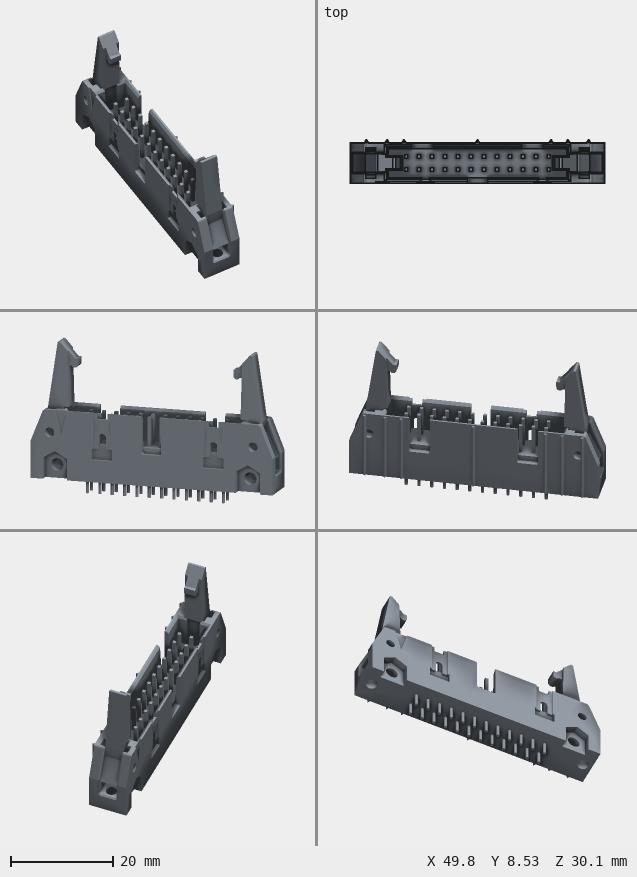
import cadquery as cq
import math


LENGTH = 49.78
HEIGHT = 13.93
OVERALL_DEPTH = 8.53
RIB_HEIGHT = 0.6
DEPTH = OVERALL_DEPTH - RIB_HEIGHT
FRONT = -DEPTH / 2
BACK = DEPTH / 2
END_SLOPE_START = 7.35
END_SLOPE_RUN = 2.65
END_ROUND = 0.6
CLEARANCE = 1.0

PITCH = 2.54
COLUMNS = 12
ROWS = 2
PIN_SIZE = 0.64
PIN_TOP = 13.35
OVERALL_HEIGHT = 30.12
LATCH_TOP = 27.25
PIN_BOTTOM = LATCH_TOP - OVERALL_HEIGHT
PIN_ROOT = 1.0

FLOOR = 7.43
CAVITY_LENGTH = 34.94
CAVITY_WIDTH = 5.68
CAVITY_FLARE = 0.32
RIM_CHAMFER = 0.43

SLOT_BOTTOM = 6.31
SLOT_CORNER = 0.4
KEY_SLOT_WIDTH = 4.0
BACK_SLOT_WIDTH = 4.2
BACK_SLOT_X = 10.8

STATION_XS = (-4 * PITCH, 5 * PITCH)
GROOVE_WIDTH = 3.45
GROOVE_DEPTH = 0.3
NOTCH_WIDTH = 2.06
NOTCH_DEPTH = 1.23
PAD_WIDTH = 4.23
PAD_DEPTH = 0.77
PAD_BOTTOM = 4.48
PAD_TOP = 6.74
WINDOW_WIDTH = 1.46
WINDOW_TOP = 9.77

MARK_X = -18.6
MARK_WIDTH = 2.58
MARK_TIP = 8.8
MARK_DEPTH = 0.3

MOUNT_X = -19.83
MOUNT_HOLE_Z = 2.68
MOUNT_HOLE_DIAMETER = 2.5
NUT_WIDTH = 4.97
NUT_SHOULDER = 4.25
NUT_APEX = NUT_SHOULDER + NUT_WIDTH / 2 * math.tan(math.radians(30))
NUT_DEPTH = 1.6

LATCH_SLOT_WIDTH = 3.66
LATCH_SLOT_FLOOR = 3.6
LATCH_SLOT_INNER_X = -18.45
LATCH_SLOT_CHAMFER = 0.3
TOP_EDGE_MARGIN = 0.01
TOE_SLOT_WIDTH = 2.84
TOE_SLOT_END_LOW = -15.07
TOE_SLOT_END_HIGH = -14.6

DRAIN_X = -23.05
DRAIN_DIAMETER = 2.2

PIVOT_X = -20.9
PIVOT_Z = 9.44
PIVOT_DIAMETER = 1.88
PIVOT_REACH = 2.2
RAMP_TOP_REACH = 2.95
RAMP_BOTTOM_REACH = 2.25

LATCH_WIDTH = 3.58
HOOK_WIDTH = 2.3
TIP_OUTER_X = -19.95
TIP_INNER_X = -19.5
TIP_ROUND = 0.2
LEVER_INNER_TOP_X = -17.95
LIP_X = -17.63
LIP_Z = 14.27
NECK_X = -18.7
SHANK_OUTER_X = -21.95
SHANK_TOP = 14.0
SHANK_BOTTOM = 11.4
HEEL_X = -24.4
HEEL_Z = 6.64
SOLE_START_X = -21.75
SOLE_Z = 4.7
SOLE_MID_X = -22.04
SOLE_MID_Z = 5.07
SOLE_END_X = -22.4
SOLE_END_Z = 5.35
TOE_X = -15.15
TOE_TOP = 6.4
HOOK_TOP_X = -16.61
HOOK_TOP_Z = 24.0
BROW_SLOPE = (HOOK_TOP_Z - LATCH_TOP) / (HOOK_TOP_X - TIP_INNER_X)
LEVER_INNER_TOP_Z = LATCH_TOP + BROW_SLOPE * (LEVER_INNER_TOP_X - TIP_INNER_X)
HOOK_END_X = -15.96
HOOK_UNDER_Z = 22.5
HOOK_RADIUS = 0.69
HOOK_CENTER_Z = 22.82

RIB_XS = (-21.75, -17.7, -14.4, 0, 14.4, 17.7, 21.75)
RIB_WIDTH = 0.75
RIB_BOTTOM = 0.13
RIB_TOP = 13.65


def block(x_range, y_range, z_range):
    """Box between the given limits on each axis."""
    (x0, x1), (y0, y1), (z0, z1) = x_range, y_range, z_range
    box = cq.Workplane("XY").box(x1 - x0, y1 - y0, z1 - z0, centered=False)
    return box.translate((x0, y0, z0))


def span(center, width):
    """Limits of a width centred on a place."""
    return center - width / 2, center + width / 2


def prism(points, y_range):
    """Closed XZ polygon extruded between two Y limits."""
    y0, y1 = y_range
    return cq.Workplane("XZ", origin=(0, y1, 0)).polyline(points).close().extrude(y1 - y0)


def y_cylinder(x, z, diameter, y_range):
    """Cylinder along Y between two Y limits."""
    y0, y1 = y_range
    return cq.Workplane("XZ", origin=(x, y1, z)).circle(diameter / 2).extrude(y1 - y0)


def mirrored(shape):
    """Same shape at the right end."""
    return shape.mirror("YZ")


def make_shell():
    """Outer block with leaning, rounded ends."""
    half = LENGTH / 2
    shoulder = half - END_SLOPE_RUN
    outline = [
        (-half, 0),
        (half, 0),
        (half, END_SLOPE_START),
        (shoulder, HEIGHT),
        (-shoulder, HEIGHT),
        (-half, END_SLOPE_START),
    ]
    shell = prism(outline, (FRONT, BACK))
    return shell.edges("|Y").edges(">Z").fillet(END_ROUND)


def make_flared_block(bottom_z, height, length, width, flare):
    """Block with a rectangular base whose four sides lean outward by the flare."""
    base = cq.Workplane("XY", origin=(0, 0, bottom_z)).rect(length, width)
    top = base.workplane(offset=height).rect(length + 2 * flare, width + 2 * flare)
    return top.loft(ruled=True)


def make_cavity():
    """Drafted cavity with a chamfered rim."""
    rim_z = HEIGHT - RIM_CHAMFER
    rim_length = CAVITY_LENGTH + 2 * CAVITY_FLARE
    rim_width = CAVITY_WIDTH + 2 * CAVITY_FLARE
    pocket = make_flared_block(FLOOR, rim_z - FLOOR, CAVITY_LENGTH, CAVITY_WIDTH, CAVITY_FLARE)
    rim = make_flared_block(rim_z, RIM_CHAMFER, rim_length, rim_width, RIM_CHAMFER)
    return pocket.union(rim)


def make_wall_slot(x, width, y_range):
    """Slot open at the top of a long wall, with rounded bottom corners."""
    slot = block(span(x, width), y_range, (SLOT_BOTTOM, HEIGHT + CLEARANCE))
    return slot.edges("|Y").edges("<Z").fillet(SLOT_CORNER)


def make_station(x):
    """Groove, notch, pad recess, round-topped window and inner relief in the front wall."""
    inside = -CAVITY_WIDTH / 2
    pad_back = FRONT + PAD_DEPTH
    top = HEIGHT + CLEARANCE
    arch_z = WINDOW_TOP - WINDOW_WIDTH / 2
    groove = block(span(x, GROOVE_WIDTH), (FRONT, FRONT + GROOVE_DEPTH), (PAD_TOP, top))
    notch = block(span(x, NOTCH_WIDTH), (FRONT, inside), (HEIGHT - NOTCH_DEPTH, top))
    pad = block(span(x, PAD_WIDTH), (FRONT, pad_back), (PAD_BOTTOM, PAD_TOP))
    window = block(span(x, WINDOW_WIDTH), (FRONT, pad_back), (PAD_TOP, arch_z))
    arch = y_cylinder(x, arch_z, WINDOW_WIDTH, (FRONT, inside))
    relief = block(span(x, WINDOW_WIDTH), (pad_back, inside), (FLOOR, top))
    return groove.union(notch).union(pad).union(window).union(arch).union(relief)


def make_pin_one_mark():
    """Shallow triangle pointing down from the top edge."""
    left, right = span(MARK_X, MARK_WIDTH)
    triangle = [(left, HEIGHT), (right, HEIGHT), (MARK_X, MARK_TIP)]
    return prism(triangle, (FRONT, FRONT + MARK_DEPTH))


def make_mount():
    """Nut recess open at the underside, and a screw hole into the latch slot."""
    left, right = span(MOUNT_X, NUT_WIDTH)
    outline = [
        (left, 0),
        (right, 0),
        (right, NUT_SHOULDER),
        (MOUNT_X, NUT_APEX),
        (left, NUT_SHOULDER),
    ]
    recess = prism(outline, (FRONT, FRONT + NUT_DEPTH))
    hole_range = (FRONT, LATCH_SLOT_WIDTH / 2 - SLOT_CORNER)
    hole = y_cylinder(MOUNT_X, MOUNT_HOLE_Z, MOUNT_HOLE_DIAMETER, hole_range)
    return recess.union(hole)


def make_latch_slot():
    """Slot open at the end and top, with rounded corners along its floor."""
    slot = block(
        (-LENGTH / 2 - CLEARANCE, LATCH_SLOT_INNER_X),
        span(0, LATCH_SLOT_WIDTH),
        (LATCH_SLOT_FLOOR, HEIGHT + CLEARANCE),
    )
    return slot.edges("|X").edges("<Z").fillet(SLOT_CORNER)


def make_toe_slot():
    """Narrow passage from the latch slot into the cavity, with a leaning inner end."""
    outline = [
        (LATCH_SLOT_INNER_X, LATCH_SLOT_FLOOR),
        (TOE_SLOT_END_LOW, LATCH_SLOT_FLOOR),
        (TOE_SLOT_END_HIGH, FLOOR),
        (TOE_SLOT_END_HIGH, HEIGHT),
        (LATCH_SLOT_INNER_X, HEIGHT),
    ]
    return prism(outline, span(0, TOE_SLOT_WIDTH))


def make_drain():
    """Upright round hole through the latch slot floor, near the end."""
    plane = cq.Workplane("XY", origin=(DRAIN_X, 0, 0))
    return plane.circle(DRAIN_DIAMETER / 2).extrude(LATCH_SLOT_FLOOR)


def make_pivot_seat():
    """Pivot hole through both walls, and ramps leading the boss down to it."""
    seat = y_cylinder(PIVOT_X, PIVOT_Z, PIVOT_DIAMETER, (FRONT, BACK))
    ramp_bottom = PIVOT_Z + PIVOT_DIAMETER / 2
    ramp_outline = [
        (-RAMP_TOP_REACH, HEIGHT),
        (RAMP_TOP_REACH, HEIGHT),
        (RAMP_BOTTOM_REACH, ramp_bottom),
        (RAMP_BOTTOM_REACH, PIVOT_Z),
        (-RAMP_BOTTOM_REACH, PIVOT_Z),
        (-RAMP_BOTTOM_REACH, ramp_bottom),
    ]
    ramp_start = PIVOT_X - PIVOT_DIAMETER / 2
    plane = cq.Workplane("YZ", origin=(ramp_start, 0, 0))
    ramps = plane.polyline(ramp_outline).close().extrude(PIVOT_DIAMETER)
    return seat.union(ramps)


def make_crush_rib(x):
    """Upright triangular rib on the back face."""
    left, right = span(x, RIB_WIDTH)
    plane = cq.Workplane("XY", origin=(0, 0, RIB_BOTTOM))
    outline = [(left, BACK), (right, BACK), (x, BACK + RIB_HEIGHT)]
    return plane.polyline(outline).close().extrude(RIB_TOP - RIB_BOTTOM)


def make_pin(x, y):
    """Square post standing on the cavity floor, with a round tail below the housing."""
    post = block(span(x, PIN_SIZE), span(y, PIN_SIZE), (FLOOR - PIN_ROOT, PIN_TOP))
    tail_plane = cq.Workplane("XY", origin=(x, y, PIN_BOTTOM))
    tail = tail_plane.circle(PIN_SIZE / 2).extrude(PIN_ROOT - PIN_BOTTOM)
    return post, tail


def chamfer_slot_mouths(body):
    """Chamfer the latch slot edges on both end faces, leaving the flat top edges sharp."""
    reach_y = LATCH_SLOT_WIDTH / 2 + CLEARANCE / 2
    inner_x = LENGTH / 2 - END_SLOPE_RUN - CLEARANCE / 2
    outer_x = LENGTH / 2 + CLEARANCE
    bottom = LATCH_SLOT_FLOOR / 2
    below_top = HEIGHT - TOP_EDGE_MARGIN
    for x0, x1 in ((-outer_x, -inner_x), (inner_x, outer_x)):
        mouth = cq.selectors.BoxSelector((x0, -reach_y, bottom), (x1, reach_y, below_top))
        body = body.edges(mouth).chamfer(LATCH_SLOT_CHAMFER)
    return body


def make_housing():
    """Housing with its ribs and pins as one solid."""
    body = make_shell()

    slot = make_latch_slot()
    body = body.cut(slot).cut(mirrored(slot))
    body = chamfer_slot_mouths(body)

    for make_cutter in (make_toe_slot, make_drain, make_pivot_seat, make_mount):
        cutter = make_cutter()
        body = body.cut(cutter).cut(mirrored(cutter))

    body = body.cut(make_cavity())
    body = body.cut(make_wall_slot(0, KEY_SLOT_WIDTH, (FRONT, -CAVITY_WIDTH / 2)))
    for x in (-BACK_SLOT_X, BACK_SLOT_X):
        body = body.cut(make_wall_slot(x, BACK_SLOT_WIDTH, (CAVITY_WIDTH / 2, BACK)))
    for x in STATION_XS:
        body = body.cut(make_station(x))
    body = body.cut(make_pin_one_mark())

    for x in RIB_XS:
        body = body.union(make_crush_rib(x))
    for column in range(COLUMNS):
        for row in range(ROWS):
            x = (column - (COLUMNS - 1) / 2) * PITCH
            y = (row - (ROWS - 1) / 2) * PITCH
            post, tail = make_pin(x, y)
            body = body.union(post).union(tail)
    return body


def make_latch():
    """Left latch: wide lever with pivot bosses, narrow hook and narrow toe."""
    lever = (
        cq.Workplane("XZ", origin=(0, LATCH_WIDTH / 2, 0))
        .moveTo(TIP_OUTER_X, LATCH_TOP)
        .lineTo(TIP_INNER_X, LATCH_TOP)
        .lineTo(LEVER_INNER_TOP_X, LEVER_INNER_TOP_Z)
        .lineTo(LIP_X, LIP_Z)
        .lineTo(NECK_X, LIP_Z)
        .lineTo(NECK_X, SOLE_Z)
        .lineTo(SOLE_START_X, SOLE_Z)
        .threePointArc((SOLE_MID_X, SOLE_MID_Z), (SOLE_END_X, SOLE_END_Z))
        .lineTo(HEEL_X, HEEL_Z)
        .lineTo(SHANK_OUTER_X, SHANK_BOTTOM)
        .lineTo(SHANK_OUTER_X, SHANK_TOP)
        .close()
        .extrude(LATCH_WIDTH)
    )
    lever = lever.edges("|Y").edges(">Z").edges("<X").fillet(TIP_ROUND)

    arc_start_x = HOOK_END_X - HOOK_RADIUS
    under_drop = HOOK_CENTER_Z - HOOK_UNDER_Z
    arc_end_x = arc_start_x - math.sqrt(HOOK_RADIUS**2 - under_drop**2)
    hook = (
        cq.Workplane("XZ", origin=(0, HOOK_WIDTH / 2, 0))
        .moveTo(LEVER_INNER_TOP_X, LEVER_INNER_TOP_Z)
        .lineTo(HOOK_TOP_X, HOOK_TOP_Z)
        .lineTo(HOOK_END_X, HOOK_TOP_Z)
        .lineTo(HOOK_END_X, HOOK_CENTER_Z)
        .threePointArc((arc_start_x, HOOK_CENTER_Z - HOOK_RADIUS), (arc_end_x, HOOK_UNDER_Z))
        .lineTo(LEVER_INNER_TOP_X, HOOK_UNDER_Z)
        .close()
        .extrude(HOOK_WIDTH)
    )

    toe = block((NECK_X, TOE_X), span(0, HOOK_WIDTH), (SOLE_Z, TOE_TOP))
    boss = y_cylinder(PIVOT_X, PIVOT_Z, PIVOT_DIAMETER, (-PIVOT_REACH, PIVOT_REACH))
    return lever.union(hook).union(toe).union(boss)


housing = make_housing()
left_latch = make_latch()
latches = [left_latch, mirrored(left_latch)]

result = cq.Compound.makeCompound([housing.val(), *[latch.val() for latch in latches]])